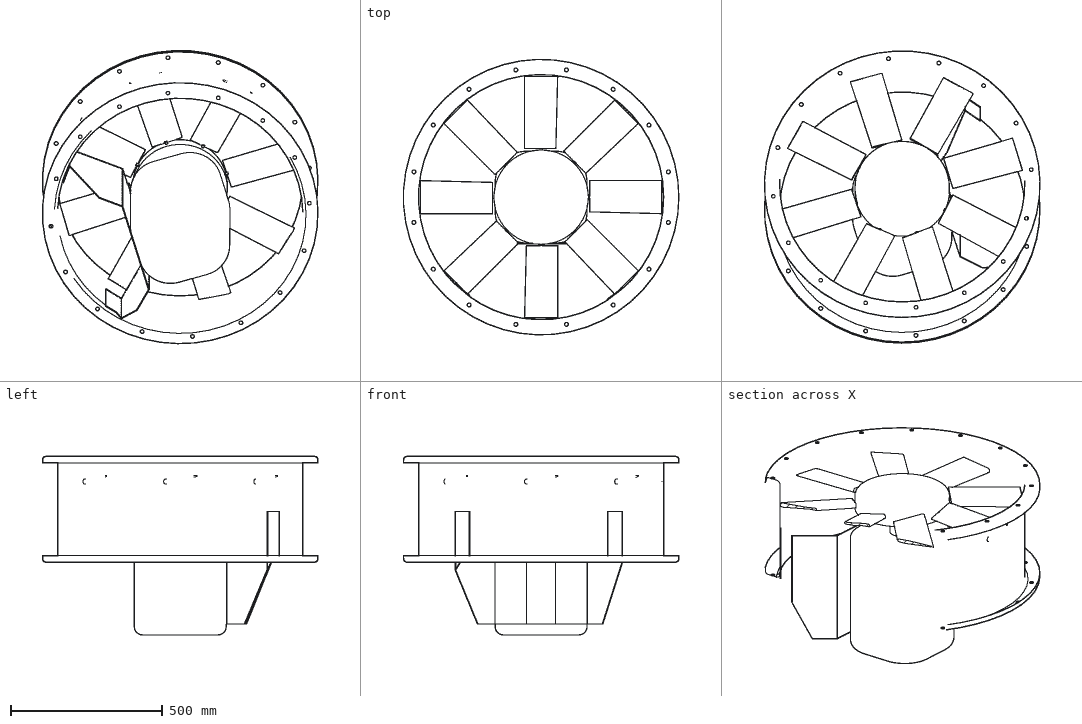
import cadquery as cq
import math

CASING_HEIGHT = 350.0
SHEET = 1.2
CASING_INNER_RADIUS = 404.0
FLANGE_RADIUS = 455.0
FLANGE_LIP = 22.0
BEND_INNER_RADIUS = 10.0
BEND_OUTER_RADIUS = BEND_INNER_RADIUS + SHEET

BOLT_COUNT = 16
BOLT_DIAMETER = 12.0
BOLT_CIRCLE_RADIUS = 428.0

HUB_RADIUS = 156.0
HUB_TOP = CASING_HEIGHT - 33.0
HUB_HEIGHT = 62.0
HUB_FILLET = 17.0
SHAFT_DIAMETER = 80.8

BLADE_COUNT = 8
BLADE_ROOT = 160.0
BLADE_TIP = 398.5
RAISED_EDGE_REACH = 55.0
ROOT_LOWERED_EDGE_REACH = 49.0
TIP_LOWERED_EDGE_REACH = 55.0
ROOT_RAISED_TOP = CASING_HEIGHT - 49.0
ROOT_LOWERED_TOP = CASING_HEIGHT - 72.0
ROOT_RAISED_RADIUS = 8.0
ROOT_LOWERED_RADIUS = 2.0
TIP_RAISED_TOP = CASING_HEIGHT - 63.0
TIP_LOWERED_TOP = CASING_HEIGHT - 75.0
TIP_RAISED_RADIUS = 2.0
TIP_LOWERED_RADIUS = 8.5
PIN_DIAMETER = 7.96
PIN_HEIGHT = CASING_HEIGHT - 71.0
PIN_OVERLAP = 5.0

MOTOR_WIDTH = 304.0
MOTOR_FLAT = 96.0
MOTOR_CORNER_RADIUS = (MOTOR_WIDTH - MOTOR_FLAT) / 2
MOTOR_BOTTOM = -240.0
MOTOR_TOP = 170.0
MOTOR_TOP_FILLET = 20.0
MOTOR_BOTTOM_FILLET = 28.0

BRACKET_SHEET = 3.0
BRACKET_BOTTOM = -204.0
BRACKET_TOP = 167.0
BRACKET_Y = -(MOTOR_WIDTH + BRACKET_SHEET) / 2
TAB_WIDTH = 62.0
TAB_WELD_DEPTH = 0.15
TAB_CORNER_RADIUS = CASING_INNER_RADIUS + TAB_WELD_DEPTH - BRACKET_SHEET / 2
WING_BOTTOM_LENGTH = 82.0
LEFT_BEND_ANGLE = 225.4
LEFT_BEND_BOTTOM = -26.0
RIGHT_BEND_ANGLE = 311.7
RIGHT_BEND_BOTTOM = 0.0
TAB_BEVEL = 21.0


def polar_point(radius, angle):
    """Point in the XY plane at the given radius and angle in degrees."""
    return (radius * math.cos(math.radians(angle)), radius * math.sin(math.radians(angle)))


def make_flange():
    """Flange at Z = 0 with its lip rising, as a revolved sheet profile."""
    bend = BEND_OUTER_RADIUS
    inner = CASING_INNER_RADIUS
    outer_bend_centre = FLANGE_RADIUS - bend
    profile = (
        cq.Workplane("XZ")
        .moveTo(inner, FLANGE_LIP)
        .lineTo(inner, bend)
        .radiusArc((inner + bend, 0), -bend)
        .lineTo(outer_bend_centre, 0)
        .radiusArc((FLANGE_RADIUS, bend), -bend)
        .lineTo(FLANGE_RADIUS, FLANGE_LIP)
        .lineTo(FLANGE_RADIUS - SHEET, FLANGE_LIP)
        .lineTo(FLANGE_RADIUS - SHEET, bend)
        .radiusArc((outer_bend_centre, SHEET), BEND_INNER_RADIUS)
        .lineTo(inner + bend, SHEET)
        .radiusArc((inner + SHEET, bend), BEND_INNER_RADIUS)
        .lineTo(inner + SHEET, FLANGE_LIP)
        .close()
    )
    flange = profile.revolve(360, (0, 0, 0), (0, 1, 0))
    bolts = (
        cq.Workplane("XY")
        .polarArray(BOLT_CIRCLE_RADIUS, 180 / BOLT_COUNT, 360, BOLT_COUNT)
        .circle(BOLT_DIAMETER / 2)
        .extrude(SHEET)
    )
    return flange.cut(bolts)


def make_casing():
    """Tube with the same flange at both ends."""
    lower_flange = make_flange()
    upper_flange = lower_flange.mirror("XY").translate((0, 0, CASING_HEIGHT))
    tube = (
        cq.Workplane("XY", origin=(0, 0, FLANGE_LIP))
        .circle(CASING_INNER_RADIUS + SHEET)
        .circle(CASING_INNER_RADIUS)
        .extrude(CASING_HEIGHT - 2 * FLANGE_LIP)
    )
    return tube.union(lower_flange).union(upper_flange)


def blade_section(work, raised_top, lowered_top, raised_radius, lowered_radius, lowered_reach):
    """Flat-sided section with a round edge at each end; the raised edge is at negative local X."""
    raised_x = raised_radius - RAISED_EDGE_REACH
    lowered_x = lowered_reach - lowered_radius
    return (
        work.moveTo(raised_x, raised_top)
        .lineTo(lowered_x, lowered_top)
        .threePointArc(
            (lowered_reach, lowered_top - lowered_radius),
            (lowered_x, lowered_top - 2 * lowered_radius),
        )
        .lineTo(raised_x, raised_top - 2 * raised_radius)
        .threePointArc((-RAISED_EDGE_REACH, raised_top - raised_radius), (raised_x, raised_top))
        .close()
    )


def make_blade():
    """Twisted blade along +Y, with the pin that holds it in the hub."""
    root_plane = cq.Plane(origin=(0, BLADE_ROOT, 0), xDir=(1, 0, 0), normal=(0, -1, 0))
    root = blade_section(
        cq.Workplane(root_plane),
        ROOT_RAISED_TOP, ROOT_LOWERED_TOP, ROOT_RAISED_RADIUS, ROOT_LOWERED_RADIUS, ROOT_LOWERED_EDGE_REACH,
    )
    both = blade_section(
        root.workplane(offset=BLADE_ROOT - BLADE_TIP),
        TIP_RAISED_TOP, TIP_LOWERED_TOP, TIP_RAISED_RADIUS, TIP_LOWERED_RADIUS, TIP_LOWERED_EDGE_REACH,
    )
    blade = both.loft(ruled=True)
    pin = (
        cq.Workplane("XZ", origin=(0, HUB_RADIUS - PIN_OVERLAP, PIN_HEIGHT))
        .circle(PIN_DIAMETER / 2)
        .extrude(-(BLADE_ROOT - HUB_RADIUS + 2 * PIN_OVERLAP))
    )
    return blade.union(pin)


def make_impeller():
    """Hub with its blades, on a shaft that stands on the motor."""
    hub_bottom = HUB_TOP - HUB_HEIGHT
    impeller = (
        cq.Workplane("XY", origin=(0, 0, hub_bottom))
        .circle(HUB_RADIUS)
        .extrude(HUB_HEIGHT)
        .faces(">Z")
        .edges()
        .fillet(HUB_FILLET)
    )
    shaft = (
        cq.Workplane("XY", origin=(0, 0, MOTOR_TOP))
        .circle(SHAFT_DIAMETER / 2)
        .extrude(hub_bottom - MOTOR_TOP)
    )
    impeller = impeller.union(shaft)
    blade = make_blade()
    for index in range(BLADE_COUNT):
        turn = index * 360 / BLADE_COUNT
        impeller = impeller.union(blade.rotate((0, 0, 0), (0, 0, 1), turn))
    return impeller


def make_motor():
    """Upright motor body, rounded at both ends."""
    return (
        cq.Workplane("XY", origin=(0, 0, MOTOR_BOTTOM))
        .rect(MOTOR_WIDTH, MOTOR_WIDTH)
        .extrude(MOTOR_TOP - MOTOR_BOTTOM)
        .edges("|Z")
        .fillet(MOTOR_CORNER_RADIUS)
        .faces(">Z")
        .edges()
        .fillet(MOTOR_TOP_FILLET)
        .faces("<Z")
        .edges()
        .fillet(MOTOR_BOTTOM_FILLET)
    )


def make_plate(start, end, outline):
    """Upright sheet centred on the line start-end; the outline maps (length along the line, Z)."""
    direction = cq.Vector(end[0] - start[0], end[1] - start[1], 0).normalized()
    normal = direction.cross(cq.Vector(0, 0, 1))
    plane = cq.Plane(origin=(start[0], start[1], 0), xDir=direction, normal=normal)
    return cq.Workplane(plane).polyline(outline).close().extrude(BRACKET_SHEET / 2, both=True)


def make_arm(corner, bend_angle, tab_turn, bend_bottom):
    """Wing from a corner of the back plate to the casing wall, and the tab bent along the wall."""
    bend = polar_point(TAB_CORNER_RADIUS, bend_angle)
    tab_angle = math.degrees(2 * math.asin(TAB_WIDTH / 2 / TAB_CORNER_RADIUS))
    tab_end = polar_point(TAB_CORNER_RADIUS, bend_angle + tab_turn * tab_angle)
    wing_length = math.dist(corner, bend)
    wing_outline = [
        (0, BRACKET_BOTTOM),
        (WING_BOTTOM_LENGTH, BRACKET_BOTTOM),
        (wing_length, bend_bottom),
        (wing_length, BRACKET_TOP),
        (0, BRACKET_TOP),
    ]
    tab_outline = [(0, bend_bottom), (TAB_WIDTH, 0), (TAB_WIDTH, BRACKET_TOP), (0, BRACKET_TOP)]
    if bend_bottom < 0:
        tab_outline.insert(1, (TAB_BEVEL, 0))
    return make_plate(corner, bend, wing_outline).union(make_plate(bend, tab_end, tab_outline))


def make_bracket():
    """Back plate of the motor with an arm on each side; the tabs turn towards each other."""
    left_corner = (-MOTOR_WIDTH / 2, BRACKET_Y)
    right_corner = (MOTOR_WIDTH / 2, BRACKET_Y)
    back_outline = [
        (0, BRACKET_BOTTOM),
        (MOTOR_WIDTH, BRACKET_BOTTOM),
        (MOTOR_WIDTH, BRACKET_TOP),
        (0, BRACKET_TOP),
    ]
    back_plate = make_plate(left_corner, right_corner, back_outline)
    left_arm = make_arm(left_corner, LEFT_BEND_ANGLE, 1, LEFT_BEND_BOTTOM)
    right_arm = make_arm(right_corner, RIGHT_BEND_ANGLE, -1, RIGHT_BEND_BOTTOM)
    return back_plate.union(left_arm).union(right_arm)


result = make_motor().union(make_bracket()).union(make_casing()).union(make_impeller())